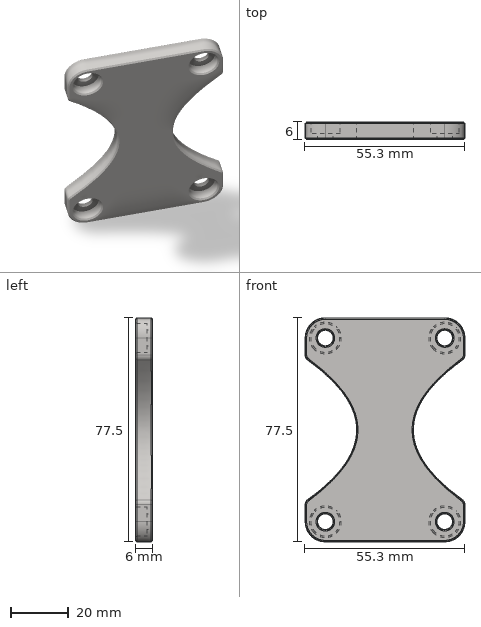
import cadquery as cq

width = 55.25
thickness = 6.0
height = 77.5
corner_radius = 7.0
edge_chamfer = 0.5

waist_width = 19.6
waist_opening = 49.6
waist_corner_radius = 2.0

hole_diameter = 5.4
counterbore_diameter = 10.0
floor_thickness = 2.0

half_width = width / 2
half_height = height / 2
half_opening = waist_opening / 2
waist_depth = (width - waist_width) / 2


def plate():
    return cq.Workplane("XY").box(width, thickness, height).edges("|Y").fillet(corner_radius)


def waist_cut(side):
    """Parabolic prism opening on the -X (side = -1) or +X (side = 1) edge."""
    edge_x = side * half_width
    control_x = side * (half_width - 2 * waist_depth)
    return (
        cq.Workplane("XZ", origin=(0, thickness / 2, 0))
        .moveTo(edge_x, -half_opening)
        .bezier([(edge_x, -half_opening), (control_x, 0), (edge_x, half_opening)])
        .close()
        .extrude(thickness)
    )


def waist_corners(body):
    """Select the four edges where the waist curves meet the straight sides."""
    margin = 0.8
    band = cq.selectors.BoxSelector(
        (-width, -thickness, -half_opening - margin),
        (width, thickness, half_opening + margin),
    )
    return body.edges("|Y").edges(band)


def corner_cylinders(diameter, depth):
    """Four cylinders at the hole centres, running from the +Y face toward -Y."""
    return (
        cq.Workplane("XZ", origin=(0, thickness / 2, 0))
        .rect(width - 2 * corner_radius, height - 2 * corner_radius, forConstruction=True)
        .vertices()
        .circle(diameter / 2)
        .extrude(depth)
    )


body = plate()
for side in (-1, 1):
    body = body.cut(waist_cut(side))
body = waist_corners(body).fillet(waist_corner_radius)

body = body.cut(corner_cylinders(hole_diameter, thickness))
body = body.cut(corner_cylinders(counterbore_diameter, thickness - floor_thickness))

result = body.faces("<Y or >Y").edges().chamfer(edge_chamfer)